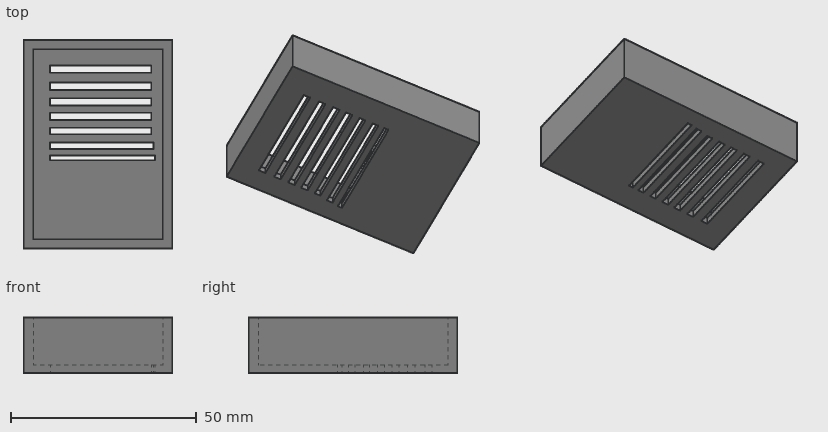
import cadquery as cq

tray_width = 40.0
tray_length = 56.15
tray_height = 15.0
wall_thickness = 2.5
floor_thickness = 2.25

slot_left_x = -12.9
wide_slot_width = 1.9
medium_slot_width = 1.7
narrow_slot_width = 1.25
short_slot_length = 27.2
slots = [
    (20.2, wide_slot_width, short_slot_length),
    (15.6, wide_slot_width, short_slot_length),
    (11.4, wide_slot_width, short_slot_length),
    (7.5, wide_slot_width, short_slot_length),
    (3.55, medium_slot_width, short_slot_length),
    (-0.4, medium_slot_width, 27.85),
    (-3.65, narrow_slot_width, 28.25),
]


def block(width, length, height, bottom_z):
    """Rectangular block centred in X and Y, standing on bottom_z."""
    return (
        cq.Workplane("XY")
        .workplane(offset=bottom_z)
        .rect(width, length)
        .extrude(height)
    )


def slot_cutter(center_y, width, length):
    """Square-ended slot running along X through the whole floor."""
    center_x = slot_left_x + length / 2
    return block(length, width, floor_thickness, 0).translate((center_x, center_y, 0))


body = block(tray_width, tray_length, tray_height, 0)
pocket = block(
    tray_width - 2 * wall_thickness,
    tray_length - 2 * wall_thickness,
    tray_height - floor_thickness,
    floor_thickness,
)
result = body.cut(pocket)

for center_y, width, length in slots:
    result = result.cut(slot_cutter(center_y, width, length))